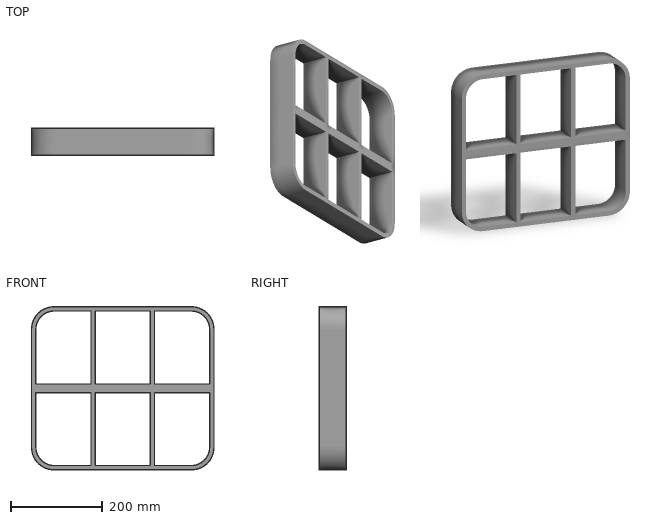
import cadquery as cq

wall = 10.0
divider = 10.0
shelf = 20.0
depth = 60.0
cell_width = 120.5
cell_height = 159.5
columns = 3
rows = 2
outer_radius = 50.0

inner_width = columns * cell_width + (columns - 1) * divider
inner_height = rows * cell_height + (rows - 1) * shelf
outer_width = inner_width + 2 * wall
outer_height = inner_height + 2 * wall
inner_radius = outer_radius - wall


def rounded_block(width, height, radius):
    """Block centred on the origin, with its corners rounded about the Y axis."""
    return cq.Workplane("XY").box(width, depth, height).edges("|Y").fillet(radius)


def make_rim():
    """Rounded outer band, open at the front and back."""
    outside = rounded_block(outer_width, outer_height, outer_radius)
    inside = rounded_block(inner_width, inner_height, inner_radius)
    return outside.cut(inside)


def bar_offsets(count, cell, bar):
    """Centres of the bars that separate a row of equal cells."""
    pitch = cell + bar
    return [(i - count / 2) * pitch for i in range(1, count)]


bar_length_x = inner_width + wall
bar_length_z = inner_height + wall

result = make_rim()
for x in bar_offsets(columns, cell_width, divider):
    upright = cq.Workplane("XY").box(divider, depth, bar_length_z).translate((x, 0, 0))
    result = result.union(upright)
for z in bar_offsets(rows, cell_height, shelf):
    middle_shelf = cq.Workplane("XY").box(bar_length_x, depth, shelf).translate((0, 0, z))
    result = result.union(middle_shelf)
result = result.clean()